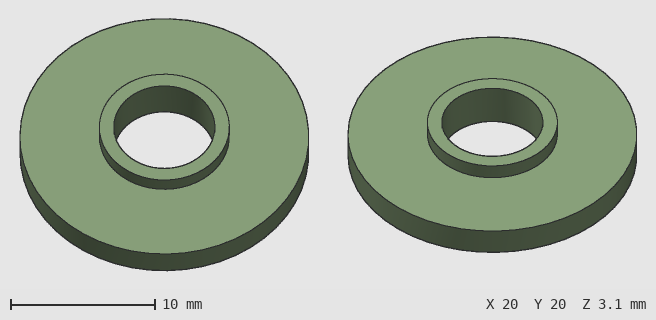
import cadquery as cq

flange_diameter = 20.0
flange_thickness = 2.0
collar_diameter = 9.0
bore_diameter = 7.0
total_height = 3.1

collar_height = total_height - flange_thickness

flange = cq.Workplane("XY").circle(flange_diameter / 2).extrude(flange_thickness)

flanged_body = flange.faces(">Z").workplane().circle(collar_diameter / 2).extrude(collar_height)

result = flanged_body.faces(">Z").workplane().circle(bore_diameter / 2).cutThruAll()